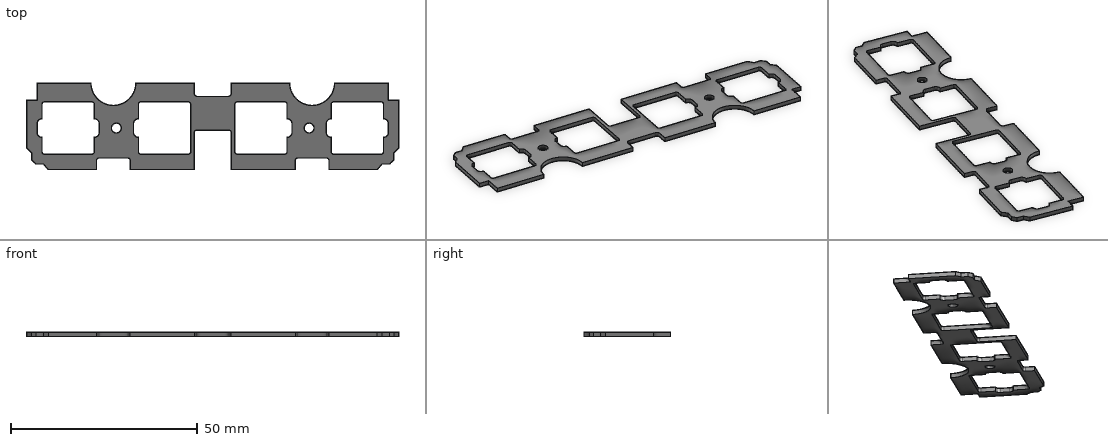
import cadquery as cq

length = 100.0
thickness = 1.2
top_y = 12.1
width = 23.3
bottom_y = top_y - width
half_length = length / 2

switch_size = 14.0
switch_pitch = 25.9
switch_corner_radius = 0.6
clip_depth = 1.3
clip_height = 4.9
clip_corner_radius = 1.2
screw_diameter = 2.6

cutout_x = 26.7
round_notch_radius = 6.0
bottom_slot_width = 9.0
bottom_slot_top_y = -8.1
gap_width = 9.9
bridge_top_y = 8.5
bridge_bottom_y = -0.6
bridge_top_radius = 0.9
slot_corner_radius = 0.6

shoulder_length = 2.8
shoulder_depth = 4.6
corner_steps = [
    (half_length, -5.4),
    (48.7, -6.7),
    (48.7, -8.6),
    (47.5, -9.7),
    (45.5, -9.7),
    (44.2, bottom_y),
]

inner_switch_x = switch_pitch / 2
outer_switch_x = inner_switch_x + switch_pitch
screw_x = switch_pitch


def block(size_x, size_y, x, y):
    """Box through the plate thickness, centred on (x, y)."""
    return cq.Workplane("XY").center(x, y).rect(size_x, size_y).extrude(thickness)


def blank():
    """Outline with the end shoulders and the stepped lower corners."""
    right_side = [
        (half_length - shoulder_length, top_y),
        (half_length - shoulder_length, top_y - shoulder_depth),
        (half_length, top_y - shoulder_depth),
    ] + corner_steps
    left_side = [(-x, y) for x, y in reversed(right_side)]
    return cq.Workplane("XY").polyline(right_side + left_side).close().extrude(thickness)


def switch_opening(x, clip_sides):
    """Square opening with a clip recess on each listed side (-1 or 1)."""
    opening = block(switch_size, switch_size, x, 0).edges("|Z").fillet(switch_corner_radius)
    for side in clip_sides:
        reach = switch_size / 2 + clip_depth
        recess = block(reach, clip_height, x + side * reach / 2, 0)
        outer_edges = "|Z and >X" if side > 0 else "|Z and <X"
        opening = opening.union(recess.edges(outer_edges).fillet(clip_corner_radius))
    return opening


def bottom_slot(x, slot_width, slot_top_y):
    """Slot open at the bottom edge, with rounded upper corners."""
    height = slot_top_y - bottom_y
    slot = block(slot_width, height, x, slot_top_y - height / 2)
    return slot.edges("|Z and >Y").fillet(slot_corner_radius)


def top_gap():
    """Gap above the bridge, with rounded lower corners."""
    height = top_y - bridge_top_y
    gap = block(gap_width, height, 0, bridge_top_y + height / 2)
    return gap.edges("|Z and <Y").fillet(bridge_top_radius)


def round_notch(x):
    """Half-round notch centred on the top edge."""
    return cq.Workplane("XY").center(x, top_y).circle(round_notch_radius).extrude(thickness)


def screw_hole(x):
    return cq.Workplane("XY").center(x, 0).circle(screw_diameter / 2).extrude(thickness)


result = blank().cut(top_gap()).cut(bottom_slot(0, gap_width, bridge_bottom_y))
for side in (-1, 1):
    result = result.cut(switch_opening(side * outer_switch_x, (-1, 1)))
    result = result.cut(switch_opening(side * inner_switch_x, (side,)))
    result = result.cut(screw_hole(side * screw_x))
    result = result.cut(round_notch(side * cutout_x))
    result = result.cut(bottom_slot(side * cutout_x, bottom_slot_width, bottom_slot_top_y))